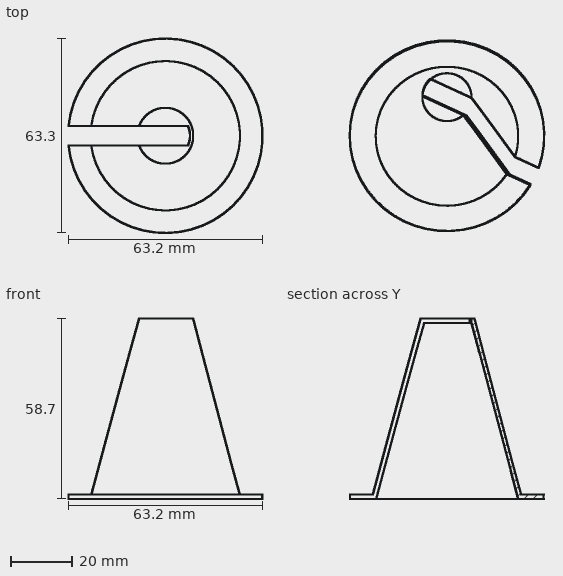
import cadquery as cq
import math

total_height = 58.74
flange_radius = 31.67
flange_thickness = 1.5
cap_thickness = 1.5

cone_base_radius = 24.3
cone_top_radius = 9.5
wall_thickness = 1.5
cap_top_radius = 9.1

slot_width = 6.3

cap_bottom_z = total_height - cap_thickness
bore_top_radius = cone_top_radius - wall_thickness
cone_slope = (cone_base_radius - cone_top_radius) / (cap_bottom_z - flange_thickness)
bore_bottom_radius = bore_top_radius + cone_slope * cap_bottom_z


def revolve_about_z(profile):
    """Revolve a closed (radius, z) profile, with its seam on the slotted -X side."""
    points = [(-radius, z) for radius, z in profile]
    return cq.Workplane("XZ").polyline(points).close().revolve(360, (0, 0, 0), (0, 1, 0))


def make_outer_body():
    """Solid flange, cone and cap, before hollowing."""
    return revolve_about_z([
        (0, 0),
        (flange_radius, 0),
        (flange_radius, flange_thickness),
        (cone_base_radius, flange_thickness),
        (cone_top_radius, cap_bottom_z),
        (cap_top_radius, total_height),
        (0, total_height),
    ])


def make_bore():
    """Conical hollow, open at the bottom and ending under the cap."""
    return revolve_about_z([
        (0, 0),
        (bore_bottom_radius, 0),
        (bore_top_radius, cap_bottom_z),
        (0, cap_bottom_z),
    ])


def make_slot():
    """Full-height slot: open at -X, ending in an arc level with the top of the bore."""
    half_width = slot_width / 2
    arc_start_x = math.sqrt(bore_top_radius**2 - half_width**2)
    return (
        cq.Workplane("XY")
        .moveTo(-flange_radius, -half_width)
        .lineTo(arc_start_x, -half_width)
        .threePointArc((bore_top_radius, 0), (arc_start_x, half_width))
        .lineTo(-flange_radius, half_width)
        .close()
        .extrude(total_height)
    )


result = make_outer_body().cut(make_bore()).cut(make_slot())